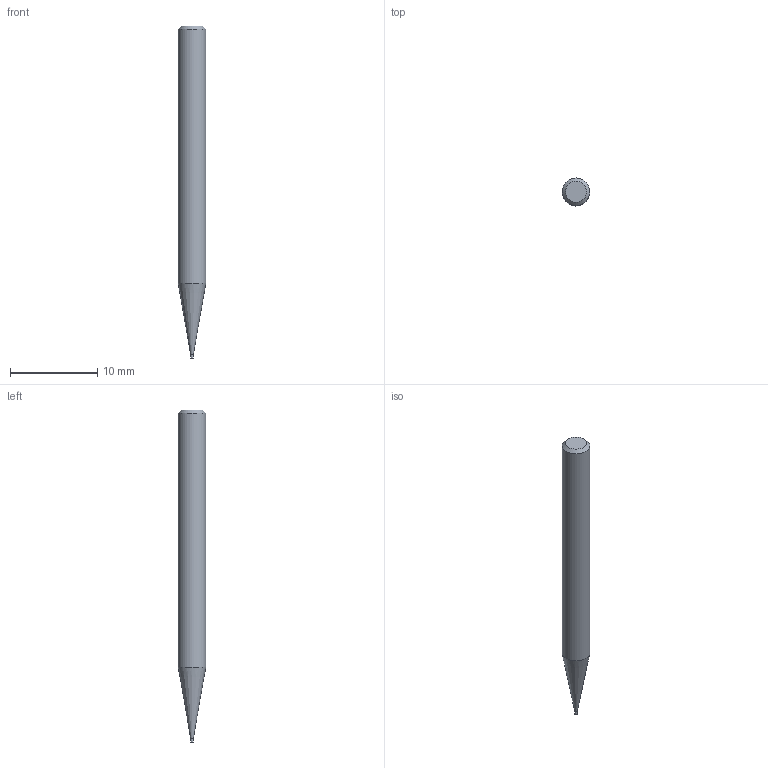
import cadquery as cq

SHANK_DIAMETER = 3.175
OVERALL_LENGTH = 38.1
SHANK_CHAMFER = 0.38
TIP_DIAMETER = 0.3
TIP_LENGTH = 0.42
TIP_TO_SHANK = 8.6

SHANK_RADIUS = SHANK_DIAMETER / 2
TIP_RADIUS = TIP_DIAMETER / 2


def tool_profile():
    """Closed half section in the XZ plane, tip end at Z = 0 and axis along Z."""
    return (
        cq.Workplane("XZ")
        .moveTo(0, 0)
        .lineTo(TIP_RADIUS, 0)
        .lineTo(TIP_RADIUS, TIP_LENGTH)
        .lineTo(SHANK_RADIUS, TIP_TO_SHANK)
        .lineTo(SHANK_RADIUS, OVERALL_LENGTH - SHANK_CHAMFER)
        .lineTo(SHANK_RADIUS - SHANK_CHAMFER, OVERALL_LENGTH)
        .lineTo(0, OVERALL_LENGTH)
        .close()
    )


result = tool_profile().revolve(360, (0, 0, 0), (0, 1, 0))